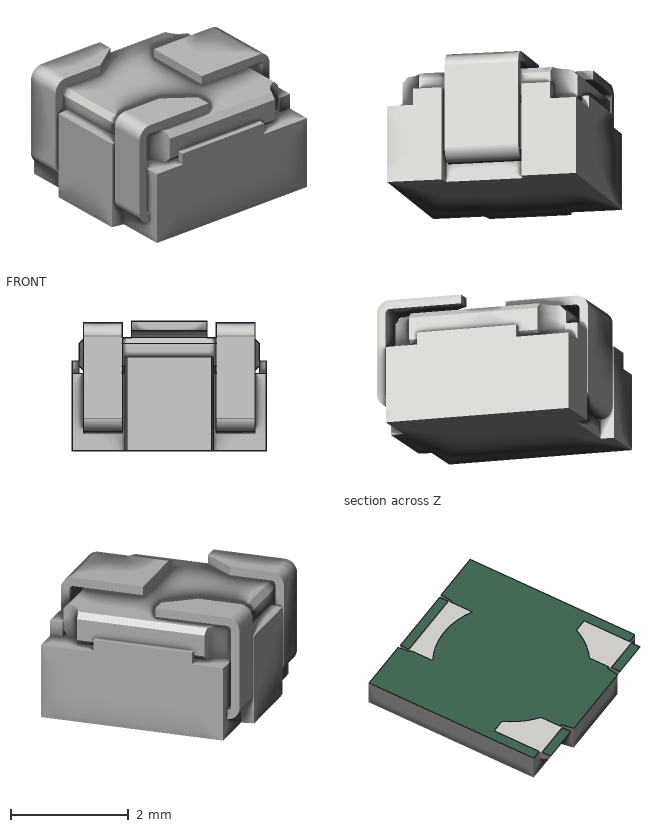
import cadquery as cq

WIDTH = 3.3
DEPTH = 3.51
HEIGHT = 2.2

CAP_SIDE = 3.06
CAP_BOTTOM = 1.34
CAP_TOP = 1.92
CAP_CHAMFER = 0.1
CAP_BITE_RADIUS = 0.38

BASE_TOP = 1.315
BACK_Y = DEPTH / 2
FRONT_Y = -CAP_SIDE / 2
STEP_DEPTH = BACK_Y - CAP_SIDE / 2

RAIL_TOP = 1.525
RAIL_WIDTH = (WIDTH - CAP_SIDE) / 2
RAIL_FRONT_GAP = 0.565
RAIL_BACK_GAP = 0.945

LUG_TOP = 1.595
RIB_ROOT_WIDTH = 1.51
RIB_TIP_WIDTH = 1.43
NOTCH_FLOOR_WIDTH = 1.335
NOTCH_MOUTH_WIDTH = 1.395
LUG_SPAN = 2.39

COIL_RADIUS = 1.34
COIL_Y = -0.07

STRIP_THICKNESS = 0.155
BEND_RADIUS = STEP_DEPTH
FOOT_BOTTOM = 0.325
FOOT_LENGTH = 0.9
SLOT_CLEARANCE = 0.025
BACK_STRIP_WIDTH = 1.285
BACK_STRIP_REACH = 1.485
FRONT_STRIP_WIDTH = 0.665
FRONT_STRIP_X = 1.127
FRONT_STRIP_REACH = 1.51
FRONT_STRIP_TOP = 2.175
FRONT_TIP_WIDTH = 0.28
FRONT_TAPER_LENGTH = 0.535


def block(x_range, y_range, z_range):
    """Box given by its lower and upper limits along each axis."""
    (x0, x1), (y0, y1), (z0, z1) = x_range, y_range, z_range
    return cq.Workplane("XY").box(x1 - x0, y1 - y0, z1 - z0, centered=False).translate((x0, y0, z0))


def tapered_prism(y0, width0, y1, width1, height):
    """Upright prism, symmetric in X, whose width changes from y0 to y1."""
    outline = [(-width0 / 2, y0), (width0 / 2, y0), (width1 / 2, y1), (-width1 / 2, y1)]
    return cq.Workplane("XY").polyline(outline).close().extrude(height)


def make_cap():
    cap = (
        cq.Workplane("XY")
        .workplane(offset=CAP_BOTTOM)
        .rect(CAP_SIDE, CAP_SIDE)
        .extrude(CAP_TOP - CAP_BOTTOM)
        .faces("<Z or >Z")
        .chamfer(CAP_CHAMFER)
    )
    bites = (
        cq.Workplane("XY")
        .rect(CAP_SIDE, CAP_SIDE, forConstruction=True)
        .vertices()
        .circle(CAP_BITE_RADIUS)
        .extrude(HEIGHT)
    )
    return cap.cut(bites)


def make_base():
    half_width = WIDTH / 2
    base = block((-half_width, half_width), (FRONT_Y, BACK_Y), (0, BASE_TOP))
    rail_y = (FRONT_Y + RAIL_FRONT_GAP, BACK_Y - RAIL_BACK_GAP)
    for rail_x in ((-half_width, RAIL_WIDTH - half_width), (half_width - RAIL_WIDTH, half_width)):
        base = base.union(block(rail_x, rail_y, (0, RAIL_TOP)))
    lug_floor_y = BACK_Y - STEP_DEPTH
    base = base.union(block((-LUG_SPAN / 2, LUG_SPAN / 2), (lug_floor_y, BACK_Y), (0, LUG_TOP)))
    base = base.cut(tapered_prism(lug_floor_y, NOTCH_FLOOR_WIDTH, BACK_Y, NOTCH_MOUTH_WIDTH, HEIGHT))
    rib = tapered_prism(FRONT_Y - STEP_DEPTH, RIB_TIP_WIDTH, FRONT_Y, RIB_ROOT_WIDTH, LUG_TOP)
    return base.union(rib)


def make_coil():
    return cq.Workplane("XY").center(0, COIL_Y).circle(COIL_RADIUS).extrude(CAP_TOP - CAP_CHAMFER)


def make_strip(width, top, reach):
    """C-shaped strip standing at the front of the part, centred on x = 0; reach includes the bend."""
    x_range = (-width / 2, width / 2)
    outer_y = -DEPTH / 2
    tip_y = outer_y + reach
    foot_y = outer_y + STEP_DEPTH + FOOT_LENGTH
    outer = block(x_range, (outer_y, tip_y), (FOOT_BOTTOM, top))
    outer = outer.edges("|X and <Y").fillet(BEND_RADIUS)
    inner = block(
        x_range,
        (outer_y + STRIP_THICKNESS, tip_y + reach),
        (FOOT_BOTTOM + STRIP_THICKNESS, top - STRIP_THICKNESS),
    )
    inner = inner.edges("|X and <Y").fillet(BEND_RADIUS - STRIP_THICKNESS)
    foot_trim = block(x_range, (foot_y, tip_y + reach), (0, FOOT_BOTTOM + STRIP_THICKNESS))
    return outer.cut(inner).cut(foot_trim)


def make_slot(width):
    """Opening in the front wall of the base around the foot of a strip."""
    return block(
        (-width / 2, width / 2),
        (FRONT_Y, FRONT_Y + FOOT_LENGTH),
        (FOOT_BOTTOM - SLOT_CLEARANCE, FOOT_BOTTOM + STRIP_THICKNESS + SLOT_CLEARANCE),
    )


def make_front_strip():
    """Strip for the +X side, its free end cut back at a slant towards the middle."""
    strip = make_strip(FRONT_STRIP_WIDTH, FRONT_STRIP_TOP, FRONT_STRIP_REACH)
    tip_y = FRONT_STRIP_REACH - DEPTH / 2
    inner_x = -FRONT_STRIP_WIDTH / 2
    tip_x = FRONT_STRIP_WIDTH / 2 - FRONT_TIP_WIDTH
    slant = (
        cq.Workplane("XY")
        .polyline([(inner_x, tip_y), (tip_x, tip_y), (inner_x, tip_y - FRONT_TAPER_LENGTH)])
        .close()
        .extrude(HEIGHT)
        .translate((0, 0, CAP_TOP))
    )
    return strip.cut(slant).translate((FRONT_STRIP_X, 0, 0))


def turned_to_back(shape):
    """Mirror a front feature to the back of the part."""
    return shape.mirror("XZ")


front_strip = make_front_strip()
front_slot = make_slot(FRONT_STRIP_WIDTH).translate((FRONT_STRIP_X, 0, 0))
back_strip = turned_to_back(make_strip(BACK_STRIP_WIDTH, HEIGHT, BACK_STRIP_REACH))
back_slot = turned_to_back(make_slot(BACK_STRIP_WIDTH))

base = make_base()
for slot in (front_slot, front_slot.mirror("YZ"), back_slot):
    base = base.cut(slot)

result = base.union(make_coil()).union(make_cap())
for strip in (front_strip, front_strip.mirror("YZ"), back_strip):
    result = result.union(strip)